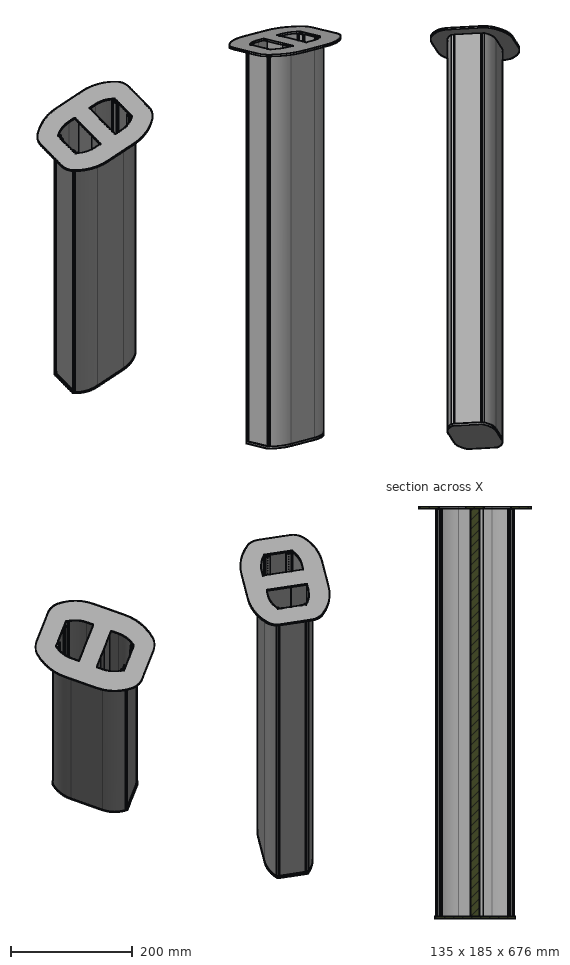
import cadquery as cq
import math

TOTAL_HEIGHT = 676.0
TOP_PLATE_THICKNESS = 3.5
BOTTOM_PLATE_THICKNESS = 4.0
COLUMN_HEIGHT = TOTAL_HEIGHT - TOP_PLATE_THICKNESS - BOTTOM_PLATE_THICKNESS

TOP_PLATE_HALF_X = 67.5
TOP_PLATE_HALF_Y = 92.5
TOP_PLATE_CORNER_RADIUS = 27.0

COLUMN_HALF_X = 40.0
COLUMN_HALF_Y = 63.5
SIDE_FLAT_HALF_Y = 28.0
SIDE_RADIUS = 57.5
SIDE_WALL = 6.0
BOTTOM_PLATE_HALF_Y = 66.0
BOTTOM_PLATE_CORNER_RADIUS = 4.0
INNER_HALF_X = COLUMN_HALF_X - SIDE_WALL
INNER_RADIUS = SIDE_RADIUS - SIDE_WALL
TOP_PLATE_RADIUS = SIDE_RADIUS + TOP_PLATE_HALF_X - COLUMN_HALF_X

PANEL_HALF_WIDTH = 21.5
PANEL_THICKNESS = 3.5
PANEL_PROUD = 1.0
PANEL_FACE_Y = COLUMN_HALF_Y + PANEL_PROUD
PANEL_BACK_Y = PANEL_FACE_Y - PANEL_THICKNESS
PANEL_GAP = 2.0
NOSE_X = PANEL_HALF_WIDTH + PANEL_GAP
LIP_TIP_X = 13.5
LIP_STEP_X = 17.5
LIP_INNER_Y = 56.0
LIP_TIP_THICKNESS = 2.0
LIP_ROOT_Y = 54.0

PASSAGE_INNER_Y = 15.5
PASSAGE_OUTER_Y = 59.5

WEB_FACE_Y = 13.5
WEB_STEP = 6.0
WEB_STEP_X = 8.0


def arc_x(y, half_x, radius, flat_half_y):
    """X on a round that leaves the flat side x = half_x tangentially at y = flat_half_y."""
    return half_x - radius + math.sqrt(radius**2 - (y - flat_half_y) ** 2)


def arc_middle(y_end, half_x, radius, flat_half_y):
    """Point halfway along the same round, between its tangent point and y_end."""
    angle = math.asin((y_end - flat_half_y) / radius) / 2
    return (half_x - radius + radius * math.cos(angle), flat_half_y + radius * math.sin(angle))


def inner_round_y(x):
    """Y where the inner round of a side shell reaches x."""
    return SIDE_FLAT_HALF_Y + math.sqrt(INNER_RADIUS**2 - (x - INNER_HALF_X + INNER_RADIUS) ** 2)


def rounded_plate(half_x, half_y, radius, corner_radius, thickness, base_z):
    """Plate with four flat sides joined by large rounds, blended where they meet the end flats."""
    flat_half_y = SIDE_FLAT_HALF_Y
    end_x = arc_x(half_y, half_x, radius, flat_half_y)
    mid_x, mid_y = arc_middle(half_y, half_x, radius, flat_half_y)
    plate = (
        cq.Workplane("XY", origin=(0, 0, base_z))
        .moveTo(half_x, -flat_half_y)
        .lineTo(half_x, flat_half_y)
        .threePointArc((mid_x, mid_y), (end_x, half_y))
        .lineTo(-end_x, half_y)
        .threePointArc((-mid_x, mid_y), (-half_x, flat_half_y))
        .lineTo(-half_x, -flat_half_y)
        .threePointArc((-mid_x, -mid_y), (-end_x, -half_y))
        .lineTo(end_x, -half_y)
        .threePointArc((mid_x, -mid_y), (half_x, -flat_half_y))
        .close()
        .extrude(thickness)
    )
    end_corners = plate.faces(">Y or <Y").edges("|Z")
    return end_corners.fillet(corner_radius)


def make_top_plate():
    """Flange with two D-shaped passages, one on each side of the web."""
    plate = rounded_plate(
        TOP_PLATE_HALF_X,
        TOP_PLATE_HALF_Y,
        TOP_PLATE_RADIUS,
        TOP_PLATE_CORNER_RADIUS,
        TOP_PLATE_THICKNESS,
        TOTAL_HEIGHT - TOP_PLATE_THICKNESS,
    )
    corner_y = inner_round_y(NOSE_X)
    mid_x, mid_y = arc_middle(corner_y, INNER_HALF_X, INNER_RADIUS, SIDE_FLAT_HALF_Y)
    passage = (
        cq.Workplane("XY", origin=(0, 0, TOTAL_HEIGHT - TOP_PLATE_THICKNESS))
        .moveTo(-INNER_HALF_X, PASSAGE_INNER_Y)
        .lineTo(INNER_HALF_X, PASSAGE_INNER_Y)
        .lineTo(INNER_HALF_X, SIDE_FLAT_HALF_Y)
        .threePointArc((mid_x, mid_y), (NOSE_X, corner_y))
        .lineTo(NOSE_X, PASSAGE_OUTER_Y)
        .lineTo(-NOSE_X, PASSAGE_OUTER_Y)
        .lineTo(-NOSE_X, corner_y)
        .threePointArc((-mid_x, mid_y), (-INNER_HALF_X, SIDE_FLAT_HALF_Y))
        .close()
        .extrude(TOP_PLATE_THICKNESS)
    )
    return plate.cut(passage).cut(passage.mirror("XZ"))


def make_bottom_plate():
    """Plain foot that closes the column."""
    return rounded_plate(
        COLUMN_HALF_X,
        BOTTOM_PLATE_HALF_Y,
        SIDE_RADIUS,
        BOTTOM_PLATE_CORNER_RADIUS,
        BOTTOM_PLATE_THICKNESS,
        0,
    )


def make_side_shell(turn):
    """Curved wall on the +X side with a stepped lip at each end, turned about Z."""
    nose_outer_x = arc_x(COLUMN_HALF_Y, COLUMN_HALF_X, SIDE_RADIUS, SIDE_FLAT_HALF_Y)
    outer_mid = arc_middle(COLUMN_HALF_Y, COLUMN_HALF_X, SIDE_RADIUS, SIDE_FLAT_HALF_Y)
    root_y = inner_round_y(NOSE_X)
    inner_mid = arc_middle(root_y, INNER_HALF_X, INNER_RADIUS, SIDE_FLAT_HALF_Y)
    half_shell = (
        cq.Workplane("XY", origin=(0, 0, BOTTOM_PLATE_THICKNESS))
        .moveTo(INNER_HALF_X, 0)
        .lineTo(COLUMN_HALF_X, 0)
        .lineTo(COLUMN_HALF_X, SIDE_FLAT_HALF_Y)
        .threePointArc(outer_mid, (nose_outer_x, COLUMN_HALF_Y))
        .lineTo(NOSE_X, COLUMN_HALF_Y)
        .lineTo(NOSE_X, PANEL_BACK_Y)
        .lineTo(LIP_STEP_X, PANEL_BACK_Y)
        .lineTo(LIP_STEP_X, LIP_INNER_Y + LIP_TIP_THICKNESS)
        .lineTo(LIP_TIP_X, LIP_INNER_Y + LIP_TIP_THICKNESS)
        .lineTo(LIP_TIP_X, LIP_INNER_Y)
        .lineTo(PANEL_HALF_WIDTH, LIP_INNER_Y)
        .lineTo(PANEL_HALF_WIDTH, LIP_ROOT_Y)
        .lineTo(NOSE_X, LIP_ROOT_Y)
        .lineTo(NOSE_X, root_y)
        .threePointArc(inner_mid, (INNER_HALF_X, SIDE_FLAT_HALF_Y))
        .close()
        .extrude(COLUMN_HEIGHT)
    )
    shell = half_shell.union(half_shell.mirror("XZ")).clean()
    return shell.rotate((0, 0, 0), (0, 0, 1), turn)


def make_end_panel(turn):
    """Strip that closes the +Y end, with two ribs seated in the lip steps, turned about Z."""
    step_y = LIP_INNER_Y + LIP_TIP_THICKNESS
    rib_depth = PANEL_BACK_Y - step_y
    panel = (
        cq.Workplane("XY", origin=(0, 0, BOTTOM_PLATE_THICKNESS))
        .center(0, PANEL_FACE_Y - PANEL_THICKNESS / 2)
        .rect(2 * PANEL_HALF_WIDTH, PANEL_THICKNESS)
        .extrude(COLUMN_HEIGHT)
    )
    for side in (-1, 1):
        rib = (
            cq.Workplane("XY", origin=(0, 0, BOTTOM_PLATE_THICKNESS))
            .center(side * (LIP_TIP_X + LIP_STEP_X) / 2, step_y + rib_depth / 2)
            .rect(LIP_STEP_X - LIP_TIP_X, rib_depth)
            .extrude(COLUMN_HEIGHT)
        )
        panel = panel.union(rib)
    return panel.rotate((0, 0, 0), (0, 0, 1), turn)


def make_web():
    """Central web between the shells, with one vertical step on each face."""
    low_y = WEB_FACE_Y - WEB_STEP
    return (
        cq.Workplane("XY", origin=(0, 0, BOTTOM_PLATE_THICKNESS))
        .moveTo(-INNER_HALF_X, -low_y)
        .lineTo(WEB_STEP_X, -low_y)
        .lineTo(WEB_STEP_X, -WEB_FACE_Y)
        .lineTo(INNER_HALF_X, -WEB_FACE_Y)
        .lineTo(INNER_HALF_X, low_y)
        .lineTo(-WEB_STEP_X, low_y)
        .lineTo(-WEB_STEP_X, WEB_FACE_Y)
        .lineTo(-INNER_HALF_X, WEB_FACE_Y)
        .close()
        .extrude(COLUMN_HEIGHT)
    )


top_plate = make_top_plate()
bottom_plate = make_bottom_plate()
web = make_web()
side_shells = [make_side_shell(turn) for turn in (0, 180)]
end_panels = [make_end_panel(turn) for turn in (0, 180)]

result = cq.Compound.makeCompound(
    [
        top_plate.val(),
        bottom_plate.val(),
        web.val(),
        *[shell.val() for shell in side_shells],
        *[panel.val() for panel in end_panels],
    ]
)